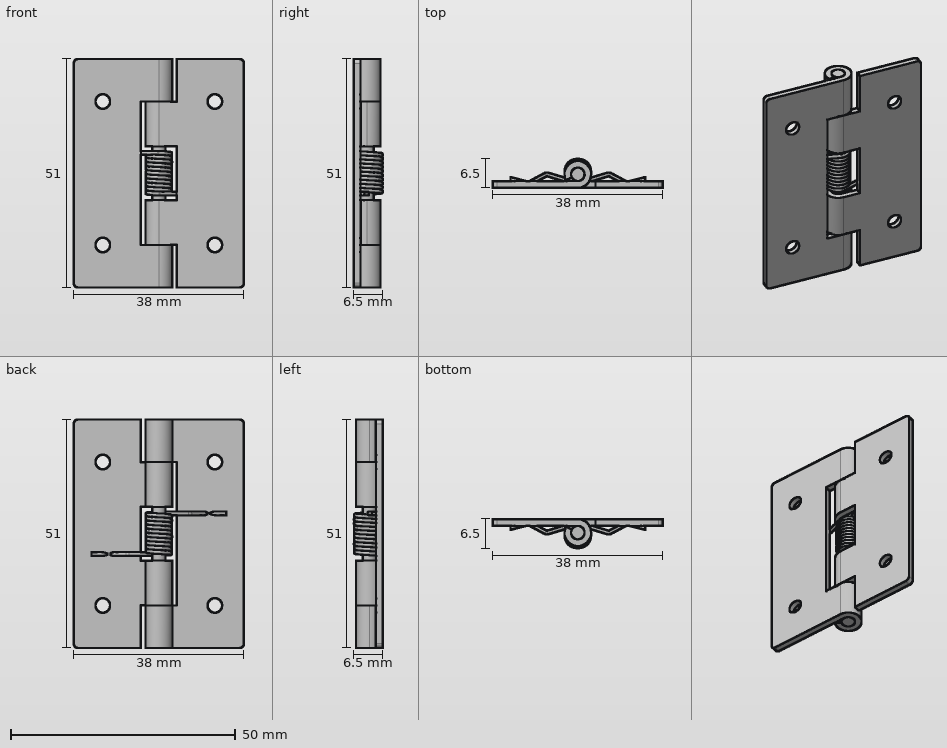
import cadquery as cq
import math

HINGE_HEIGHT = 51.0
LEAF_REACH = 19.0
SHEET = 1.5
PIN_RADIUS = 1.5
CORNER_RADIUS = 1.0
KNUCKLE_RADIUS = PIN_RADIUS + SHEET
KNUCKLE_CLEARANCE = 1.0
RELIEF_EDGE = KNUCKLE_RADIUS + KNUCKLE_CLEARANCE
CURL_END_ANGLE = 207.0
HALF_HEIGHT = HINGE_HEIGHT / 2
KNUCKLE_SPLIT = 16.0
SPRING_GAP = 6.0
LEAF_OUTER_Y = -KNUCKLE_RADIUS
LEAF_INNER_Y = LEAF_OUTER_Y + SHEET

HOLE_DIAMETER = 3.2
HOLE_X = 12.5
HOLE_Z = 16.0

WIRE_DIAMETER = 0.9
COIL_OUTER_RADIUS = 3.0
COIL_AXIS_Y = 0.5
COIL_TURNS = 10
COIL_PITCH = 0.91
LEG_PEAK_X = 6.95
LEG_FALL_RUN = 4.0
LEG_END_X = 15.05
LEG_RISE_ANGLE = 17.0
LEG_FALL_ANGLE = 28.0
LEG_TIP_ANGLE = 14.3
LEG_VALLEY_X = LEG_PEAK_X + LEG_FALL_RUN
LEG_BEND_RADIUS = 0.55
LEG_LEAD_IN = 0.1
PATH_TOLERANCE = 1e-4
WIRE_RADIUS = WIRE_DIAMETER / 2
COIL_RADIUS = COIL_OUTER_RADIUS - WIRE_RADIUS
COIL_HEIGHT = COIL_TURNS * COIL_PITCH


def on_circle(radius, angle):
    """Point around the hinge axis at an angle in degrees."""
    return (radius * math.cos(math.radians(angle)), radius * math.sin(math.radians(angle)))


def knuckle_profile():
    """Rolled strip: a flat run from the relief edge, then a curl around the pin."""
    return (
        cq.Workplane("XY")
        .moveTo(-RELIEF_EDGE, LEAF_OUTER_Y)
        .lineTo(0, LEAF_OUTER_Y)
        .threePointArc(on_circle(KNUCKLE_RADIUS, 0), on_circle(KNUCKLE_RADIUS, 180))
        .threePointArc(
            on_circle(KNUCKLE_RADIUS, (180 + CURL_END_ANGLE) / 2),
            on_circle(KNUCKLE_RADIUS, CURL_END_ANGLE),
        )
        .lineTo(*on_circle(PIN_RADIUS, CURL_END_ANGLE))
        .threePointArc(on_circle(PIN_RADIUS, 90), (0, LEAF_INNER_Y))
        .lineTo(-RELIEF_EDGE, LEAF_INNER_Y)
        .close()
    )


def leaf(knuckle_bottom, knuckle_height):
    """Leaf on the -X side with a pair of knuckles mirrored about mid-height."""
    plate = (
        cq.Workplane("XY")
        .box(LEAF_REACH - RELIEF_EDGE, SHEET, HINGE_HEIGHT, centered=(False, False, True))
        .translate((-LEAF_REACH, LEAF_OUTER_Y, 0))
        .edges("<X and |Y")
        .fillet(CORNER_RADIUS)
    )
    holes = (
        cq.Workplane("XZ", origin=(-HOLE_X, LEAF_INNER_Y, 0))
        .rarray(1, 2 * HOLE_Z, 1, 2)
        .circle(HOLE_DIAMETER / 2)
        .extrude(SHEET)
    )
    knuckle = knuckle_profile().extrude(knuckle_height).translate((0, 0, knuckle_bottom))
    return plate.cut(holes).union(knuckle).union(knuckle.mirror("XY"))


def half_turn(shape):
    """Turn a shape half a revolution about the Y axis, onto the other side of the hinge."""
    return shape.rotate(cq.Vector(0, 0, 0), cq.Vector(0, 1, 0), 180)


def spring_leg_path():
    """Path of the upper leg: a short lead-in along the coil, then bends at the kink, peak and valley.

    It runs past the tip so that the wire can be trimmed square to X there.
    """
    def rise(run, angle):
        return run * math.tan(math.radians(angle))

    coil_end_y = COIL_AXIS_Y - COIL_RADIUS
    peak_y = coil_end_y + rise(LEG_PEAK_X - LEG_LEAD_IN, LEG_RISE_ANGLE)
    valley_y = peak_y - rise(LEG_VALLEY_X - LEG_PEAK_X, LEG_FALL_ANGLE)
    overlong_x = LEG_END_X + WIRE_DIAMETER
    overlong_y = valley_y + rise(overlong_x - LEG_VALLEY_X, LEG_TIP_ANGLE)
    corners = [
        cq.Vector(0, coil_end_y, COIL_HEIGHT / 2),
        cq.Vector(-LEG_LEAD_IN, coil_end_y, COIL_HEIGHT / 2),
        cq.Vector(-LEG_PEAK_X, peak_y, COIL_HEIGHT / 2),
        cq.Vector(-LEG_VALLEY_X, valley_y, COIL_HEIGHT / 2),
        cq.Vector(-overlong_x, overlong_y, COIL_HEIGHT / 2),
    ]
    sharp_path = cq.Wire.makePolygon(corners)
    return sharp_path.fillet(LEG_BEND_RADIUS, sharp_path.Vertices()[1:-1])


def wire_along(path):
    """Round wire swept along a path that ends at a leg, with its tips trimmed square to X."""
    section = cq.Plane(origin=path.endPoint(), normal=path.tangentAt(1))
    wire = cq.Workplane(section).circle(WIRE_RADIUS).sweep(cq.Workplane(path), transition="transformed")
    return wire.intersect(cq.Workplane("XY").box(2 * LEG_END_X, HINGE_HEIGHT, HINGE_HEIGHT))


def spring_path(upper_leg_path):
    """Lower leg, left-handed coil that ends on the leaf side of the pin, and upper leg."""
    coil_path = (
        cq.Wire.makeHelix(COIL_PITCH, COIL_HEIGHT, COIL_RADIUS, lefthand=True)
        .rotate(cq.Vector(0, 0, 0), cq.Vector(0, 0, 1), -90)
        .translate(cq.Vector(0, COIL_AXIS_Y, -COIL_HEIGHT / 2))
    )
    lower_leg_path = half_turn(upper_leg_path)
    return cq.Wire.combine([lower_leg_path, coil_path, upper_leg_path], tol=PATH_TOLERANCE)[0]


pin = cq.Workplane("XY").circle(PIN_RADIUS).extrude(HINGE_HEIGHT).translate((0, 0, -HALF_HEIGHT))

upper_leg_path = spring_leg_path()
upper_leg = wire_along(upper_leg_path)
spring = wire_along(spring_path(upper_leg_path))

left_leaf = leaf(KNUCKLE_SPLIT, HALF_HEIGHT - KNUCKLE_SPLIT).cut(upper_leg)
right_leaf = half_turn(leaf(SPRING_GAP, KNUCKLE_SPLIT - SPRING_GAP).cut(upper_leg))

bodies = [left_leaf, right_leaf, pin, spring]
result = cq.Compound.makeCompound([body.solids().val() for body in bodies])